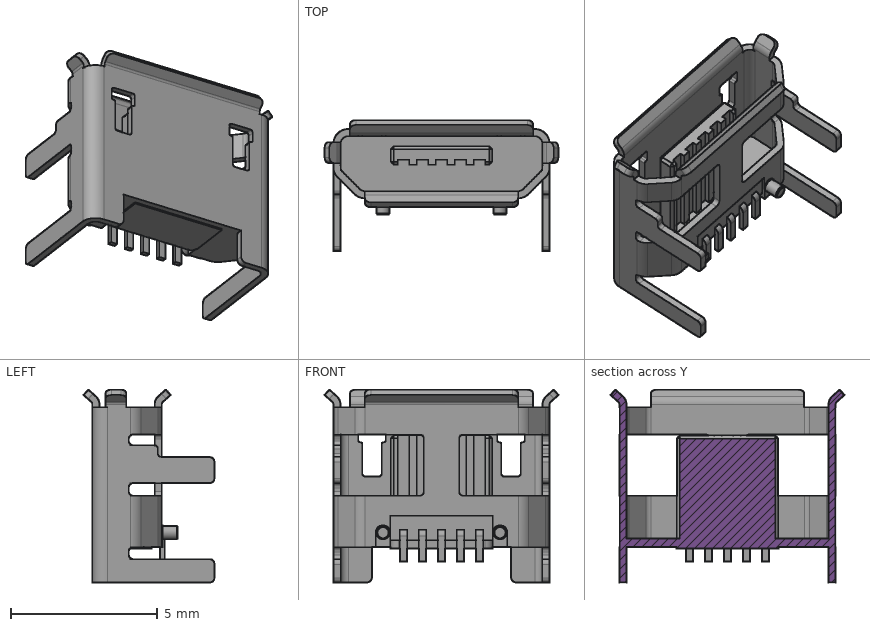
import math

import cadquery as cq

EPS = 0.05

WALL = 0.25
HALF_WIDTH = 3.7
REAR_Y = 1.18
FRONT_Y = -1.2
SHELL_TOP = 6.0
SHELL_BOTTOM = 1.21
REAR_RADIUS = 0.52
FRONT_RADIUS = 0.5
SLANT_Y = -0.325
SLANT_ANGLE = math.radians(45)

LIP_ANGLE = math.radians(48)
LIP_RADIUS = 0.12
LIP_REACH = 0.3
LIP_RISE = 0.6
REAR_LIP_LENGTH = 6.26
FRONT_LIP_LENGTH = 5.24
SIDE_LIP_LENGTH = 0.72
SIDE_LIP_Y = 0.37
LIP_CORNER = 0.2

LEG_END_Y = -3.0
LEG_ROOT_Y = -0.07
LEG_INSERT_Y = 0.07
LEG_CORNER = 0.17
LOWER_LEG_TOP = 0.806
UPPER_LEG_BOTTOM = 3.4
UPPER_LEG_TOP = 4.295
SHOULDER_TOP = 4.7
SHOULDER_Y = -0.94
SHOULDER_RADIUS = 0.12
SLOT_RADIUS = 0.15

WINDOW_BOTTOM = 2.97
WINDOW_TOP = 5.06
WINDOW_INNER_X = 0.6
WINDOW_CORNER = 0.15
KEYHOLE_X = 2.375
KEYHOLE_BOTTOM = 3.63
KEYHOLE_STEP = 4.8
KEYHOLE_TOP = 5.28
KEYHOLE_WIDE = 0.93
KEYHOLE_NARROW = 0.66
KEYHOLE_CORNER = 0.1
KEYHOLE_STEP_RADIUS = 0.06
TAIL_INNER_X = 2.37
TAIL_CORNER = 0.2
NOTCH_HALF_WIDTH = 1.75
NOTCH_TOP = 2.28

FLOOR_Z = 1.51
FILLER_BOTTOM = 1.45
NOTCH_RECESS = 0.07
STUB_BOTTOM = 1.16
STUB_FRONT_Y = -0.85
STUB_RADIUS = 0.27
PEG_X = 2.0
PEG_Z = 1.71
PEG_RADIUS = 0.23
PEG_END_Y = -1.75
PEG_CHAMFER = 0.04
PEG_BASE_RADIUS = 0.25
PEG_BASE_PROUD = 0.03

TONGUE_HALF_WIDTH = 1.73
TONGUE_REAR_Y = 0.58
TONGUE_FRONT_Y = -0.04
TONGUE_TOP = 5.03
TONGUE_CHAMFER = 0.1
PITCH = 0.65
CONTACTS = 5
GROOVE_WIDTH = 0.39
GROOVE_DEPTH = 0.16

PIN_WIDTH = 0.25
PIN_THICKNESS = 0.17
PIN_FRONT_Y = -1.3
PIN_BOTTOM = 0.72
PIN_TOP = 1.82
PIN_BEND_RADIUS = 0.22

INNER_X = HALF_WIDTH - WALL
CONTACT_XS = [(i - (CONTACTS - 1) / 2) * PITCH for i in range(CONTACTS)]


def box(x0, x1, y0, y1, z0, z1):
    """Axis-aligned box between the given limits."""
    return cq.Workplane("XY").box(x1 - x0, y1 - y0, z1 - z0, centered=False).translate((x0, y0, z0))


def both_sides(solid):
    """The solid together with its mirror image across the YZ plane."""
    return solid.union(solid.mirror("YZ"))


def shell_prism(inset, z0, z1):
    """D-shaped shell outline, moved inwards by inset, as a solid prism."""
    slant_shift = inset * math.tan(SLANT_ANGLE / 2)
    half_width = HALF_WIDTH - inset
    rear = REAR_Y - inset
    front = FRONT_Y + inset
    slant_y = SLANT_Y + slant_shift
    foot_x = half_width - (slant_y - front) / math.tan(SLANT_ANGLE)
    outline = [
        (-half_width, rear),
        (half_width, rear),
        (half_width, slant_y),
        (foot_x, front),
        (-foot_x, front),
        (-half_width, slant_y),
    ]
    prism = cq.Workplane("XY").workplane(offset=z0).polyline(outline).close().extrude(z1 - z0)
    prism = prism.edges("|Z and >Y").fillet(REAR_RADIUS - inset)
    return prism.edges("|Z and (not >Y)").fillet(FRONT_RADIUS - inset)


def lip(length):
    """Lip flaring towards +X, its outer face starting at the origin, centred along Y."""
    sin_a = math.sin(LIP_ANGLE)
    cos_a = math.cos(LIP_ANGLE)
    inner_radius = LIP_RADIUS + WALL
    straight = (LIP_REACH - LIP_RADIUS * (1 - cos_a)) / sin_a
    bend_z = LIP_RISE - inner_radius * sin_a - straight * cos_a

    def bend_point(radius, angle):
        return (LIP_RADIUS - radius * math.cos(angle), bend_z + radius * math.sin(angle))

    def along(point):
        return (point[0] + straight * sin_a, point[1] + straight * cos_a)

    outer_end = bend_point(LIP_RADIUS, LIP_ANGLE)
    inner_end = bend_point(inner_radius, LIP_ANGLE)
    flare = (
        cq.Workplane("XZ")
        .moveTo(0, 0)
        .lineTo(0, bend_z)
        .threePointArc(bend_point(LIP_RADIUS, LIP_ANGLE / 2), outer_end)
        .lineTo(*along(outer_end))
        .lineTo(*along(inner_end))
        .lineTo(*inner_end)
        .threePointArc(bend_point(inner_radius, LIP_ANGLE / 2), (-WALL, bend_z))
        .lineTo(-WALL, 0)
        .close()
        .extrude(length / 2, both=True)
    )
    tip = cq.selectors.DirectionMinMaxSelector(cq.Vector(sin_a, 0, cos_a))
    return flare.faces(tip).edges("not |Y").fillet(LIP_CORNER)


def placed_lip(length, heading, x, y):
    """Lip turned to face the heading (degrees from +X) and set on the shell rim."""
    return lip(length).rotate((0, 0, 0), (0, 0, 1), heading).translate((x, y, SHELL_TOP))


def side_leg(z0, z1):
    """Flat leg in the plane of the +X side, reaching forward to its rounded end."""
    leg = box(INNER_X, HALF_WIDTH, LEG_END_Y, LEG_INSERT_Y, z0, z1)
    return leg.edges("|X and <Y").fillet(LEG_CORNER)


def shoulder():
    """Raised root of the upper leg, running down to it through an S-shaped step."""
    r = SHOULDER_RADIUS
    mid = r * math.sqrt(0.5)
    step_y = SHOULDER_Y - r
    return (
        cq.Workplane("YZ")
        .workplane(offset=INNER_X)
        .moveTo(LEG_INSERT_Y, UPPER_LEG_BOTTOM)
        .lineTo(LEG_INSERT_Y, SHOULDER_TOP)
        .lineTo(SHOULDER_Y, SHOULDER_TOP)
        .threePointArc((SHOULDER_Y - mid, SHOULDER_TOP - r + mid), (step_y, SHOULDER_TOP - r))
        .lineTo(step_y, UPPER_LEG_TOP + r)
        .threePointArc((step_y - r + mid, UPPER_LEG_TOP + r - mid), (step_y - r, UPPER_LEG_TOP))
        .lineTo(step_y - r, UPPER_LEG_BOTTOM)
        .close()
        .extrude(WALL)
    )


def leg_slot(z0, z1):
    """Cutter for the gap above or below a leg, with a rounded blind end."""
    slot = box(INNER_X, HALF_WIDTH + EPS, FRONT_Y - EPS, LEG_ROOT_Y, z0, z1)
    return slot.edges("|X and >Y").fillet(SLOT_RADIUS)


def front_window():
    """Cutter for the window in the front wall and slant."""
    window = box(WINDOW_INNER_X, INNER_X, FRONT_Y - EPS, LEG_ROOT_Y, WINDOW_BOTTOM, WINDOW_TOP)
    return window.edges("|Y and <X").fillet(WINDOW_CORNER)


def keyhole():
    """Cutter for the stepped opening in the rear wall."""

    def slot(width, z0, z1):
        half = width / 2
        return box(KEYHOLE_X - half, KEYHOLE_X + half, REAR_Y - WALL - EPS, REAR_Y + EPS, z0, z1)

    hole = slot(KEYHOLE_NARROW, KEYHOLE_BOTTOM, KEYHOLE_TOP)
    hole = hole.union(slot(KEYHOLE_WIDE, KEYHOLE_STEP, KEYHOLE_TOP))
    hole = hole.edges("|Y and (>Z or <Z)").fillet(KEYHOLE_CORNER)
    step_zone = cq.selectors.BoxSelector(
        (KEYHOLE_X - KEYHOLE_WIDE, FRONT_Y, KEYHOLE_STEP - EPS),
        (KEYHOLE_X + KEYHOLE_WIDE, REAR_Y + WALL, KEYHOLE_STEP + EPS),
    )
    return hole.edges("|Y").edges(step_zone).fillet(KEYHOLE_STEP_RADIUS)


def rear_tail_gap():
    """Cutter removing the rear wall between its two downward tails."""
    gap = box(-TAIL_INNER_X, TAIL_INNER_X, LEG_ROOT_Y, REAR_Y + EPS, -EPS, SHELL_BOTTOM)
    tail_corner = (
        box(0, TAIL_CORNER, LEG_ROOT_Y, REAR_Y + EPS, 0, TAIL_CORNER)
        .translate((TAIL_INNER_X, 0, 0))
        .cut(
            cq.Workplane("XZ")
            .center(TAIL_INNER_X + TAIL_CORNER, TAIL_CORNER)
            .circle(TAIL_CORNER)
            .extrude(2 * REAR_Y, both=True)
        )
    )
    return gap.union(both_sides(tail_corner))


def peg_base(y0, y1):
    """U-shaped pad around a peg, open to the lower edge of the front wall."""
    disc = (
        cq.Workplane("XZ", origin=(PEG_X, y1, PEG_Z))
        .circle(PEG_BASE_RADIUS)
        .extrude(y1 - y0)
    )
    foot = box(PEG_X - PEG_BASE_RADIUS, PEG_X + PEG_BASE_RADIUS, y0, y1, SHELL_BOTTOM, PEG_Z)
    return both_sides(disc.union(foot))


def make_shell():
    """Folded sheet-metal shell with its openings, legs and lips."""
    shell = shell_prism(0, 0, SHELL_TOP).cut(shell_prism(WALL, 0, SHELL_TOP))
    shell = shell.cut(box(-INNER_X, INNER_X, FRONT_Y - EPS, LEG_ROOT_Y, -EPS, SHELL_BOTTOM))
    shell = shell.cut(both_sides(front_window()))
    legs = side_leg(0, LOWER_LEG_TOP).union(side_leg(UPPER_LEG_BOTTOM, UPPER_LEG_TOP))
    legs = legs.union(shoulder())
    shell = shell.cut(both_sides(leg_slot(LOWER_LEG_TOP, SHELL_BOTTOM)))
    shell = shell.cut(both_sides(leg_slot(WINDOW_BOTTOM, UPPER_LEG_BOTTOM)))
    shell = shell.cut(both_sides(leg_slot(SHOULDER_TOP, WINDOW_TOP)))
    shell = shell.union(both_sides(legs))
    shell = shell.cut(both_sides(keyhole())).cut(rear_tail_gap())
    notch = box(
        -NOTCH_HALF_WIDTH, NOTCH_HALF_WIDTH, FRONT_Y - EPS, FRONT_Y + WALL, SHELL_BOTTOM - EPS, NOTCH_TOP
    )
    shell = shell.cut(notch)
    shell = shell.union(placed_lip(REAR_LIP_LENGTH, 90, 0, REAR_Y))
    shell = shell.union(placed_lip(FRONT_LIP_LENGTH, -90, 0, FRONT_Y))
    return shell.union(both_sides(placed_lip(SIDE_LIP_LENGTH, 0, HALF_WIDTH, SIDE_LIP_Y)))


def make_tongue():
    """Chamfered tongue with contact grooves; the lands between grooves keep square ends."""
    tongue = box(
        -TONGUE_HALF_WIDTH, TONGUE_HALF_WIDTH, TONGUE_FRONT_Y, TONGUE_REAR_Y, SHELL_BOTTOM, TONGUE_TOP
    )
    tongue = tongue.edges("|Z or >Z").chamfer(TONGUE_CHAMFER)
    for x in CONTACT_XS:
        groove = box(
            x - GROOVE_WIDTH / 2,
            x + GROOVE_WIDTH / 2,
            TONGUE_FRONT_Y - EPS,
            TONGUE_FRONT_Y + GROOVE_DEPTH,
            FLOOR_Z,
            TONGUE_TOP + EPS,
        )
        tongue = tongue.cut(groove)
    land_width = PITCH - GROOVE_WIDTH
    land_rear_y = TONGUE_FRONT_Y + GROOVE_DEPTH
    for left_contact in CONTACT_XS[:-1]:
        x0 = left_contact + GROOVE_WIDTH / 2
        tongue = tongue.union(
            box(x0, x0 + land_width, TONGUE_FRONT_Y, land_rear_y, FLOOR_Z, TONGUE_TOP)
        )
    return tongue


def make_housing():
    """Floor block with the notch filler, the rounded stub below it and the tongue."""
    block = shell_prism(WALL, SHELL_BOTTOM, FLOOR_Z)
    relief_rear_y = STUB_FRONT_Y + STUB_RADIUS
    relief = box(
        -NOTCH_HALF_WIDTH, NOTCH_HALF_WIDTH, FRONT_Y, relief_rear_y, STUB_BOTTOM, FILLER_BOTTOM
    )
    filler = box(
        -NOTCH_HALF_WIDTH,
        NOTCH_HALF_WIDTH,
        FRONT_Y + NOTCH_RECESS,
        FRONT_Y + WALL,
        FILLER_BOTTOM,
        NOTCH_TOP,
    )
    stub = box(
        -NOTCH_HALF_WIDTH, NOTCH_HALF_WIDTH, STUB_FRONT_Y, REAR_Y - WALL, STUB_BOTTOM, FILLER_BOTTOM
    )
    stub = stub.edges("|Z and <Y").fillet(STUB_RADIUS)
    return block.cut(relief).union(filler).union(stub).union(make_tongue())


def make_peg():
    """Locating peg on the +X half, pointing forwards."""
    peg = (
        cq.Workplane("XZ", origin=(PEG_X, FRONT_Y + WALL, PEG_Z))
        .circle(PEG_RADIUS)
        .extrude(FRONT_Y + WALL - PEG_END_Y)
    )
    return peg.faces("<Y").edges().chamfer(PEG_CHAMFER)


def make_pin(x):
    """Pin leaving the housing forwards, then bending down along the board."""
    x0 = x - PIN_WIDTH / 2
    x1 = x + PIN_WIDTH / 2
    pin = box(x0, x1, PIN_FRONT_Y, FRONT_Y + WALL, PIN_BOTTOM, PIN_TOP)
    pin = pin.edges("|X and <Y and >Z").fillet(PIN_BEND_RADIUS)
    underside = box(
        x0 - EPS,
        x1 + EPS,
        PIN_FRONT_Y + PIN_THICKNESS,
        FRONT_Y + WALL + EPS,
        PIN_BOTTOM - EPS,
        FILLER_BOTTOM,
    )
    return pin.cut(underside)


result = make_shell().union(make_housing())
result = result.union(peg_base(FRONT_Y - PEG_BASE_PROUD, FRONT_Y + WALL)).union(both_sides(make_peg()))
for pin_x in CONTACT_XS:
    result = result.union(make_pin(pin_x))